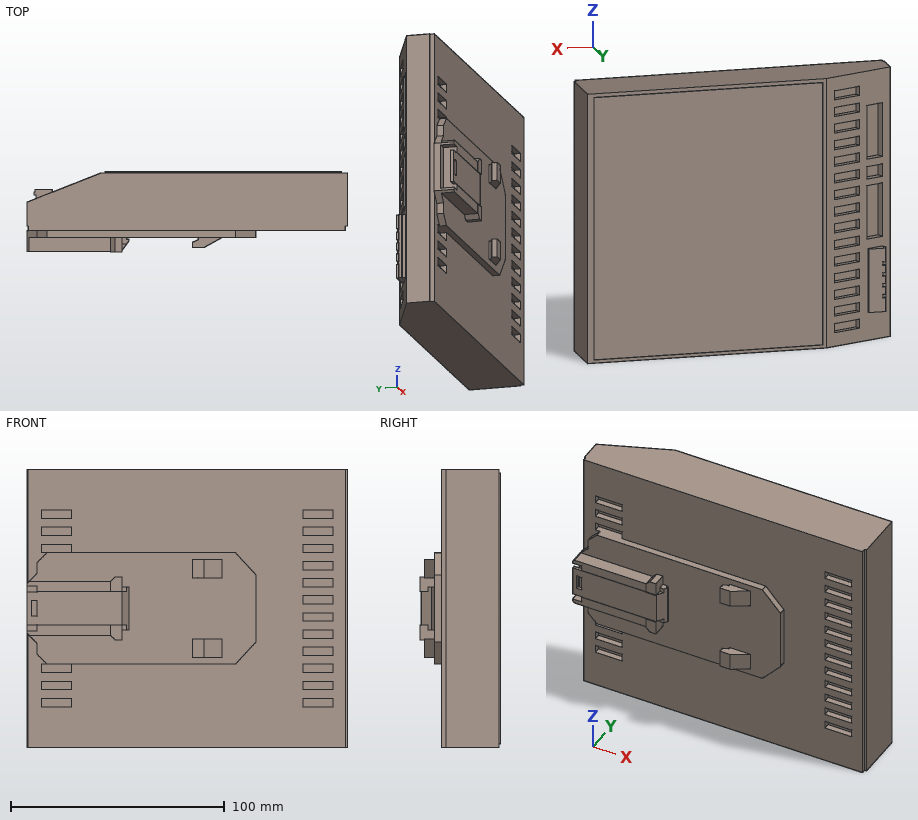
import cadquery as cq
import math


LENGTH = 150.0
HEIGHT = 130.0
BODY_DEPTH = 27.0
SLOPE_START_Y = 13.4
SLOPE_END_X = 34.6
STEP_DEPTH = 2.1
STEP_INSET_LEFT = 0.6
STEP_INSET_RIGHT = 1.0

PANEL_THICKNESS = 0.6
PANEL_START_X = 36.5
PANEL_END_X = 147.0
PANEL_HEIGHT = 126.6

VENT_LENGTH = 14.1
VENT_HEIGHT = 3.9
VENT_DEPTH = 3.0
VENT_ROWS = 12
VENT_SPAN = 88.0
VENT_PITCH = VENT_SPAN / (VENT_ROWS - 1)
VENT_LEFT_X = 6.9
VENT_RIGHT_X = 129.0
LEFT_OPEN_ROWS = 3

WINDOW_LOW_Y = 20.0
WINDOW_HIGH_Y = 25.2
WINDOW_HEIGHT = 4.4
WINDOW_COUNT = 15
WINDOW_SPAN = 112.4
WINDOW_PITCH = WINDOW_SPAN / (WINDOW_COUNT - 1)
WINDOW_DEPTH = 2.8
SOCKET_LOW_Y = 15.0
SOCKET_HIGH_Y = 18.3
SOCKET_DEPTH = 3.6
SOCKET_SPANS = [(22.5, 48.5), (12.9, 18.9), (-16.0, 9.8)]

PLUG_HEIGHT = 30.6
PLUG_MID_Z = -36.0
PLUG_END_X = 12.0
PLUG_BACK_Y = 19.4
PLUG_UPPER_STEP_Y = 18.2
PLUG_LOWER_STEP_Y = 16.6
PLUG_LOWER_X = 4.2
PLUG_MIDDLE_X = 3.3
PLUG_UPPER_X = 3.8
NOTCH_WIDTH = 1.6
NOTCH_PITCH = 5.2
NOTCH_COUNT = 4
NOTCH_LENGTH = 1.5

PLATE_THICKNESS = 3.3
PLATE_LENGTH = 107.1
PLATE_HALF_HEIGHT = ((VENT_ROWS + 1) / 2 - LEFT_OPEN_ROWS) * VENT_PITCH - VENT_HEIGHT / 2
PLATE_FRONT_CHAMFER = 4.6
PLATE_WAIST_X = 4.8
PLATE_WAIST_HALF_HEIGHT = 16.4
PLATE_BACK_CHAMFER_X = 9.6
PLATE_BACK_CHAMFER_Z = 10.4

SLIDE_Y = -9.8
SLIDE_LENGTH = 39.2
SLIDE_HALF_HEIGHT = 12.6
CHANNEL_HALF_HEIGHT = 7.8
CHANNEL_DEPTH = 0.2
HEAD_Y = -10.0
HEAD_END_X = 44.5
HEAD_HEIGHT = 29.5
HEAD_HALF_HEIGHT = HEAD_HEIGHT / 2
CAVITY_HALF_HEIGHT = 10.5
TONGUE_HALF_HEIGHT = 7.6
TONGUE_UNDERSIDE_Y = -8.1
TONGUE_HOLE_X = 2.1
TONGUE_HOLE_HEIGHT = 7.2

NOSE_TIP_X = 47.8
NOSE_TIP_Y = -4.6
NOSE_UNDERSIDE_Y = -3.9
NOSE_ROOT_X = 46.8
NOSE_ROOT_Y = -9.3
NOSE_HEIGHT = 20.0
NOSE_HALF_HEIGHT = NOSE_HEIGHT / 2
NOSE_SIDE_Y = -6.3

HOOK_HEIGHT = 8.7
HOOK_MID_Z = 18.6
HOOK_TIP_X = 77.4
HOOK_STEM_X = 80.1
HOOK_RAMP_X = 82.8
HOOK_END_X = 91.2
HOOK_FACE_Y = -8.0
HOOK_LIP_Y = -5.4
HOOK_THROAT_Y = -4.2


def block(x0, x1, y0, y1, z0, z1):
    """Box between opposite corners."""
    return cq.Workplane("XY").box(x1 - x0, y1 - y0, z1 - z0, centered=False).translate((x0, y0, z0))


def prism(points, mid_z, height):
    """XY outline extruded along Z, symmetric about mid_z."""
    return cq.Workplane("XY").polyline(points).close().extrude(height).translate((0, 0, mid_z - height / 2))


def centered_row(count, pitch, middle=0.0):
    """Evenly spaced positions about a middle value."""
    return [middle + (i - (count - 1) / 2) * pitch for i in range(count)]


def slope_x(y):
    """X of the sloped face at a given Y."""
    return (y - SLOPE_START_Y) * SLOPE_END_X / (BODY_DEPTH - SLOPE_START_Y)


def make_housing():
    right_step_x = LENGTH - STEP_INSET_RIGHT
    outline = [
        (STEP_INSET_LEFT, 0),
        (right_step_x, 0),
        (right_step_x, STEP_DEPTH),
        (LENGTH, STEP_DEPTH),
        (LENGTH, BODY_DEPTH),
        (SLOPE_END_X, BODY_DEPTH),
        (0, SLOPE_START_Y),
        (0, STEP_DEPTH),
        (STEP_INSET_LEFT, STEP_DEPTH),
    ]
    panel_y = BODY_DEPTH + PANEL_THICKNESS
    panel_z = PANEL_HEIGHT / 2
    panel = block(PANEL_START_X, PANEL_END_X, BODY_DEPTH, panel_y, -panel_z, panel_z)
    return prism(outline, 0, HEIGHT).union(panel)


def cut_vents(body):
    """Right column is complete; the left column is interrupted by the rail plate."""
    rows = centered_row(VENT_ROWS, VENT_PITCH)
    left_rows = rows[:LEFT_OPEN_ROWS] + rows[-LEFT_OPEN_ROWS:]
    half = VENT_HEIGHT / 2
    for start_x, column in ((VENT_LEFT_X, left_rows), (VENT_RIGHT_X, rows)):
        for z in column:
            body = body.cut(block(start_x, start_x + VENT_LENGTH, 0, VENT_DEPTH, z - half, z + half))
    return body


def slope_pocket(low_y, high_y, depth, mid_z, height):
    """Pocket sunk square to the sloped face."""
    angle = math.atan2(BODY_DEPTH - SLOPE_START_Y, SLOPE_END_X)
    inward_x = depth * math.sin(angle)
    inward_y = -depth * math.cos(angle)
    low = (slope_x(low_y), low_y)
    high = (slope_x(high_y), high_y)
    outline = [
        low,
        high,
        (high[0] + inward_x, high[1] + inward_y),
        (low[0] + inward_x, low[1] + inward_y),
    ]
    return prism(outline, mid_z, height)


def cut_slope_pockets(body):
    for z in centered_row(WINDOW_COUNT, WINDOW_PITCH):
        body = body.cut(slope_pocket(WINDOW_LOW_Y, WINDOW_HIGH_Y, WINDOW_DEPTH, z, WINDOW_HEIGHT))
    for low_z, high_z in SOCKET_SPANS:
        middle = (low_z + high_z) / 2
        body = body.cut(slope_pocket(SOCKET_LOW_Y, SOCKET_HIGH_Y, SOCKET_DEPTH, middle, high_z - low_z))
    return body


def make_plug():
    """Stepped block with notches along its back edge; its base lies inside the housing."""
    outline = [
        (PLUG_LOWER_X, SLOPE_START_Y),
        (PLUG_END_X, SLOPE_START_Y),
        (PLUG_END_X, PLUG_BACK_Y),
        (PLUG_UPPER_X, PLUG_BACK_Y),
        (PLUG_UPPER_X, PLUG_UPPER_STEP_Y),
        (PLUG_MIDDLE_X, PLUG_UPPER_STEP_Y),
        (PLUG_MIDDLE_X, PLUG_LOWER_STEP_Y),
        (PLUG_LOWER_X, PLUG_LOWER_STEP_Y),
    ]
    plug = prism(outline, PLUG_MID_Z, PLUG_HEIGHT)
    half = NOTCH_WIDTH / 2
    notch_end_x = PLUG_UPPER_X + NOTCH_LENGTH
    for z in centered_row(NOTCH_COUNT, NOTCH_PITCH, PLUG_MID_Z):
        plug = plug.cut(block(PLUG_UPPER_X, notch_end_x, PLUG_UPPER_STEP_Y, PLUG_BACK_Y, z - half, z + half))
    return plug


def mirrored_plate(upper_points, y_far, y_near):
    """XZ outline given by its +Z half, mirrored about Z = 0 and extruded between two Y levels."""
    lower_points = [(x, -z) for x, z in reversed(upper_points)]
    outline = cq.Workplane("XZ").polyline(upper_points + lower_points).close()
    return outline.extrude(y_near - y_far).translate((0, y_near, 0))


def make_plate():
    waist_z = PLATE_WAIST_HALF_HEIGHT
    upper = [
        (0, waist_z - PLATE_WAIST_X),
        (PLATE_WAIST_X, waist_z),
        (PLATE_WAIST_X, PLATE_HALF_HEIGHT - PLATE_FRONT_CHAMFER),
        (PLATE_WAIST_X + PLATE_FRONT_CHAMFER, PLATE_HALF_HEIGHT),
        (PLATE_LENGTH - PLATE_BACK_CHAMFER_X, PLATE_HALF_HEIGHT),
        (PLATE_LENGTH, PLATE_HALF_HEIGHT - PLATE_BACK_CHAMFER_Z),
    ]
    return mirrored_plate(upper, -PLATE_THICKNESS, 0)


def make_slide():
    """Channelled slide, its widened head and the hollow under the release tongue."""
    base_y = -PLATE_THICKNESS
    corner_z = PLATE_WAIST_HALF_HEIGHT - PLATE_WAIST_X
    rail = mirrored_plate(
        [
            (0, corner_z),
            (SLIDE_HALF_HEIGHT - corner_z, SLIDE_HALF_HEIGHT),
            (SLIDE_LENGTH, SLIDE_HALF_HEIGHT),
        ],
        SLIDE_Y,
        base_y,
    )
    head_flare = HEAD_HALF_HEIGHT - SLIDE_HALF_HEIGHT
    head = mirrored_plate(
        [
            (SLIDE_LENGTH, SLIDE_HALF_HEIGHT),
            (SLIDE_LENGTH + head_flare, HEAD_HALF_HEIGHT),
            (HEAD_END_X, HEAD_HALF_HEIGHT),
        ],
        HEAD_Y,
        base_y,
    )
    channel_y = SLIDE_Y + CHANNEL_DEPTH
    channel_z = CHANNEL_HALF_HEIGHT
    channel = block(0, HEAD_END_X, HEAD_Y, channel_y, -channel_z, channel_z)
    cavity = block(0, PLATE_WAIST_X, SLIDE_Y, base_y, -CAVITY_HALF_HEIGHT, CAVITY_HALF_HEIGHT)
    tongue_z = TONGUE_HALF_HEIGHT
    tongue = block(0, PLATE_WAIST_X, channel_y, TONGUE_UNDERSIDE_Y, -tongue_z, tongue_z)
    hole_z = TONGUE_HOLE_HEIGHT / 2
    tongue_hole = block(TONGUE_HOLE_X, PLATE_WAIST_X, SLIDE_Y, TONGUE_UNDERSIDE_Y, -hole_z, hole_z)
    return rail.union(head).cut(channel).cut(cavity).union(tongue.cut(tongue_hole))


def make_nose():
    """Wedge-shaped catch, full height in the middle and cut lower at both sides."""
    base_y = -PLATE_THICKNESS
    outline = [
        (HEAD_END_X, base_y),
        (NOSE_ROOT_X, base_y),
        (NOSE_ROOT_X, NOSE_UNDERSIDE_Y),
        (NOSE_TIP_X, NOSE_UNDERSIDE_Y),
        (NOSE_TIP_X, NOSE_TIP_Y),
        (HEAD_END_X, NOSE_ROOT_Y),
    ]
    nose = prism(outline, 0, NOSE_HEIGHT)
    inner_z = CHANNEL_HALF_HEIGHT
    outer_z = NOSE_HALF_HEIGHT
    for low_z, high_z in ((-outer_z, -inner_z), (inner_z, outer_z)):
        nose = nose.cut(block(HEAD_END_X, NOSE_TIP_X, NOSE_ROOT_Y, NOSE_SIDE_Y, low_z, high_z))
    return nose


def make_hook(mid_z):
    base_y = -PLATE_THICKNESS
    outline = [
        (HOOK_STEM_X, base_y),
        (HOOK_END_X, base_y),
        (HOOK_RAMP_X, HOOK_FACE_Y),
        (HOOK_TIP_X, HOOK_FACE_Y),
        (HOOK_TIP_X, HOOK_LIP_Y),
        (HOOK_STEM_X, HOOK_THROAT_Y),
    ]
    return prism(outline, mid_z, HOOK_HEIGHT)


housing = cut_slope_pockets(cut_vents(make_housing()))
result = housing.union(make_plug()).union(make_plate()).union(make_slide()).union(make_nose())
for hook_z in (-HOOK_MID_Z, HOOK_MID_Z):
    result = result.union(make_hook(hook_z))